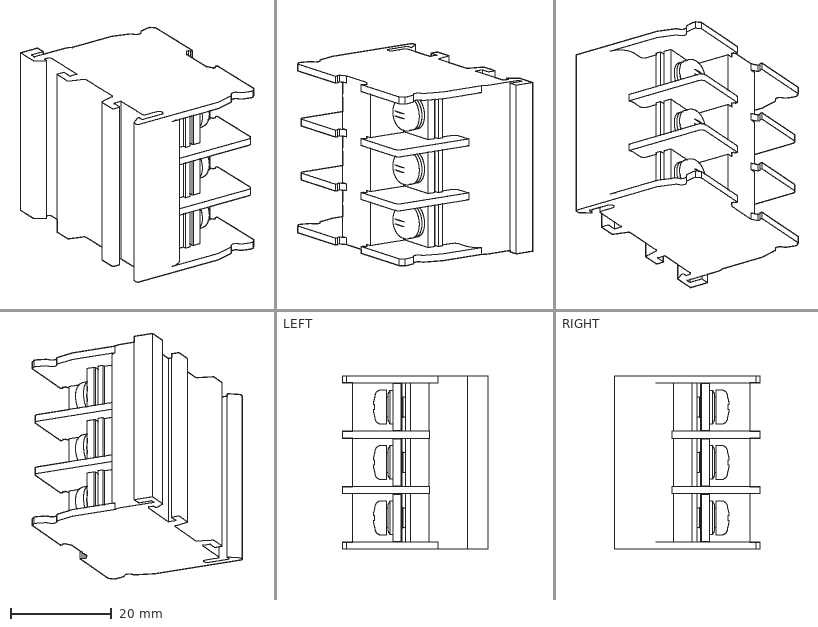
import cadquery as cq
import math


LENGTH = 41.6
HEIGHT = 34.5
CELLS = 3
PLATE_THICK = 1.4
CELL_PITCH = (HEIGHT - PLATE_THICK) / CELLS
CENTRE_X = 22.6
TOP_Y = 29.0

END_PLATE_LEFT = 2 * CENTRE_X - LENGTH
INNER_PLATE_LEFT = 5.6
INNER_PLATE_FILLET = 1.0
PLATE_ROOT_Y = 6.25

RAIL_FACE_Y = 3.6
BASE_LEFT = 3.1
SHOULDER_Y = 11.77
SHOULDER_RADIUS = 3.5
WALL_FILLET = 1.0
LOWER_WALL_LEFT = 10.0
LEDGE_LEFT = 9.3
LEDGE_BOTTOM_Y = 15.45
LEDGE_TOP_Y = 16.47
CORE_LEFT = 17.8
CORE_TOP_Y = 27.0

BAR_BOTTOM_Y = 17.15
BAR_TOP_Y = 18.93
BAR_CHAMFER = 0.2
BAR_CLEARANCE = 0.12
SCREW_X = 13.9
COLLAR_RADIUS = 2.05
COLLAR_BOTTOM_Y = 16.9
SHANK_RADIUS = 1.95
WASHER_RADIUS = 3.33
WASHER_CHAMFER = 0.37
WASHER_TOP_Y = 19.93
HEAD_RADIUS = 3.4
HEAD_BOTTOM_Y = 20.25
HEAD_ROUND_Y = 21.25
HEAD_TOP_Y = 22.85
SLOT_WIDTH = 1.0
SLOT_DEPTH = 0.2

FOOT_BOTTOM_Y = 0.2
FOOT_TOP_Y = 1.9
FOOT_FILLET = 0.25
FOOT_ROOT_FILLET = 0.4
HOOK_TIP_Y = 2.25
HOOK_TIP_FILLET = 0.15
HOOK_HEEL_FILLET = 0.4
THROAT_FILLET = 0.6
FLEX_SLOT_FILLET = 0.4
FLEX_SLOT_LEFT = 38.52
FLEX_SLOT_RIGHT = 40.05
FLEX_SLOT_TOP_Y = 7.55
OVERLAP = 0.4


def mirror_x(x):
    return 2 * CENTRE_X - x


def mirrored(points):
    """Points reflected about the terminal centre line, in reverse order."""
    return [(mirror_x(x), y) for x, y in reversed(points)]


def prism(points):
    """Full-height solid over a straight-sided outline."""
    return cq.Workplane("XY").polyline(points).close().extrude(HEIGHT)


def round_corners(solid, corners, radius):
    """Fillet the full-height edges that pass through the given (x, y) corners."""
    for x, y in corners:
        edge = solid.edges("|Z").edges(cq.selectors.NearestToPointSelector((x, y, HEIGHT / 2)))
        solid = edge.fillet(radius)
    return solid


def both_sides(solid):
    """The solid together with its reflection on the other terminal row."""
    return solid.union(solid.mirror("YZ", (CENTRE_X, 0, 0)))


def marker_groove():
    """Undercut groove in the outer edge of every plate, for a marker strip."""
    left = [(18.2, TOP_Y + OVERLAP), (18.2, 28.55), (17.8, 28.25), (17.8, 27.8), (19.15, CORE_TOP_Y)]
    return prism(left + mirrored(left))


def end_plate(bottom):
    """Outer plate, with a smoothly rounded finger notch at each upper flank."""
    flank = [(END_PLATE_LEFT, PLATE_ROOT_Y), (END_PLATE_LEFT, 19.43), (4.65, 23.15)]
    notch_arcs = [
        ((4.85, 23.4), (5.2, 23.63)),
        ((5.75, 24.5), (5.25, 25.35)),
        ((4.85, 25.63), (4.65, 26.0)),
    ]
    horn = [(4.25, 27.6), (4.25, 28.15), (5.08, TOP_Y)]
    sketch = cq.Workplane("XY").workplane(offset=bottom).polyline(flank)
    for middle, end in notch_arcs:
        sketch = sketch.threePointArc(middle, end)
    for point in horn + [(CENTRE_X, TOP_Y)]:
        sketch = sketch.lineTo(*point)
    sketch = sketch.lineTo(CENTRE_X, PLATE_ROOT_Y).close()
    return both_sides(sketch.extrude(PLATE_THICK))


def inner_plate(bottom):
    """Partition between two cells, with rounded outer corners."""
    width = 2 * (CENTRE_X - INNER_PLATE_LEFT)
    plate = cq.Workplane("XY").box(
        width, TOP_Y - PLATE_ROOT_Y, PLATE_THICK, centered=(True, False, False)
    )
    plate = plate.edges("|Z and >Y").fillet(INNER_PLATE_FILLET)
    return plate.translate((CENTRE_X, PLATE_ROOT_Y, bottom))


def base():
    """Full-height body: rounded shoulders, filleted into the stepped central wall."""
    diagonal = math.sqrt(0.5)
    arc_y = SHOULDER_Y - SHOULDER_RADIUS
    arc_left = BASE_LEFT + SHOULDER_RADIUS
    arc_right = LENGTH - SHOULDER_RADIUS
    reach = SHOULDER_RADIUS * diagonal
    wall_foot_y = SHOULDER_Y + WALL_FILLET
    fillet_left = LOWER_WALL_LEFT - WALL_FILLET
    fillet_mid = (LOWER_WALL_LEFT - WALL_FILLET * (1 - diagonal), wall_foot_y - WALL_FILLET * diagonal)
    wall = [
        (LOWER_WALL_LEFT, wall_foot_y),
        (LOWER_WALL_LEFT, LEDGE_BOTTOM_Y),
        (LEDGE_LEFT, LEDGE_BOTTOM_Y),
        (LEDGE_LEFT, LEDGE_TOP_Y),
        (CORE_LEFT, LEDGE_TOP_Y),
        (CORE_LEFT, CORE_TOP_Y),
    ]
    sketch = (
        cq.Workplane("XY")
        .moveTo(BASE_LEFT, RAIL_FACE_Y)
        .lineTo(BASE_LEFT, arc_y)
        .threePointArc((arc_left - reach, arc_y + reach), (arc_left, SHOULDER_Y))
        .lineTo(fillet_left, SHOULDER_Y)
        .threePointArc(fillet_mid, wall[0])
    )
    for point in wall[1:] + mirrored(wall):
        sketch = sketch.lineTo(*point)
    sketch = (
        sketch.threePointArc(mirrored([fillet_mid])[0], (mirror_x(fillet_left), SHOULDER_Y))
        .lineTo(arc_right, SHOULDER_Y)
        .threePointArc((arc_right + reach, arc_y + reach), (LENGTH, arc_y))
        .lineTo(LENGTH, RAIL_FACE_Y)
    )
    return sketch.close().extrude(HEIGHT)


def rail_foot():
    """Left L-shaped foot whose toe points away from the centre."""
    toe, shin, heel, root = 12.55, 14.75, 16.65, 17.65
    root_end = root + 2 * FOOT_ROOT_FILLET
    foot = prism([
        (shin, RAIL_FACE_Y + OVERLAP),
        (shin, FOOT_TOP_Y),
        (toe, FOOT_TOP_Y),
        (toe, FOOT_BOTTOM_Y),
        (heel, FOOT_BOTTOM_Y),
        (root, RAIL_FACE_Y),
        (root_end, RAIL_FACE_Y),
        (root_end, RAIL_FACE_Y + OVERLAP),
    ])
    foot = round_corners(foot, [(root, RAIL_FACE_Y)], FOOT_ROOT_FILLET)
    return round_corners(
        foot, [(toe, FOOT_TOP_Y), (toe, FOOT_BOTTOM_Y), (heel, FOOT_BOTTOM_Y)], FOOT_FILLET
    )


def fixed_hook():
    """Left rail hook with the upturned release lip."""
    lip_right, lip_top, lip_floor = 2.1, 4.08, 1.2
    throat, throat_end = 5.1, 6.25
    throat_top = (throat, RAIL_FACE_Y)
    throat_bottom = (throat, HOOK_TIP_Y)
    tip = (6.3, HOOK_TIP_Y)
    heel = (4.75, 0)
    hook = prism([
        (0, 0),
        (0, lip_top),
        (lip_right, lip_top),
        (lip_right, lip_floor),
        (BASE_LEFT, lip_floor),
        (BASE_LEFT, RAIL_FACE_Y + OVERLAP),
        (throat_end, RAIL_FACE_Y + OVERLAP),
        (throat_end, RAIL_FACE_Y),
        throat_top,
        throat_bottom,
        tip,
        heel,
    ])
    hook = round_corners(hook, [throat_top], THROAT_FILLET)
    hook = round_corners(hook, [throat_bottom, tip], HOOK_TIP_FILLET)
    return round_corners(hook, [heel], HOOK_HEEL_FILLET)


def spring_hook():
    """Right rail hook, hanging below the flexing slot."""
    throat_bottom = (FLEX_SLOT_RIGHT, HOOK_TIP_Y)
    tip = (38.7, HOOK_TIP_Y)
    heel = (40.35, 0)
    corner = (LENGTH, 0)
    hook = prism([
        (FLEX_SLOT_RIGHT, RAIL_FACE_Y + OVERLAP),
        throat_bottom,
        tip,
        heel,
        corner,
        (LENGTH, RAIL_FACE_Y + OVERLAP),
    ])
    hook = round_corners(hook, [throat_bottom, tip], HOOK_TIP_FILLET)
    return round_corners(hook, [heel, corner], HOOK_HEEL_FILLET)


def flex_slot():
    """Round-ended slot that frees the spring hook."""
    radius = (FLEX_SLOT_RIGHT - FLEX_SLOT_LEFT) / 2
    middle = (FLEX_SLOT_LEFT + FLEX_SLOT_RIGHT) / 2
    return (
        cq.Workplane("XY")
        .moveTo(FLEX_SLOT_LEFT, RAIL_FACE_Y - OVERLAP)
        .lineTo(FLEX_SLOT_LEFT, FLEX_SLOT_TOP_Y - radius)
        .threePointArc((middle, FLEX_SLOT_TOP_Y), (FLEX_SLOT_RIGHT, FLEX_SLOT_TOP_Y - radius))
        .lineTo(FLEX_SLOT_RIGHT, RAIL_FACE_Y - OVERLAP)
        .close()
        .extrude(HEIGHT)
    )


def conductor_bar(bottom):
    """Bar running through the central wall from one screw to the other."""
    bar = cq.Workplane("XY").box(
        2 * (CENTRE_X - LEDGE_LEFT),
        BAR_TOP_Y - BAR_BOTTOM_Y,
        CELL_PITCH - PLATE_THICK - 2 * BAR_CLEARANCE,
        centered=(True, False, False),
    )
    bar = bar.faces("<Y").edges("|Z").chamfer(BAR_CHAMFER)
    return bar.translate((CENTRE_X, BAR_BOTTOM_Y, bottom + BAR_CLEARANCE))


def screw(middle_z):
    """Left screw, revolved about Y: shank, collar, washer and slotted domed head."""
    dome_radius, dome_y = 2.1, 22.5
    dome_mid = (dome_radius / 2, HEAD_TOP_Y - 0.1)
    head_round_mid = (3.05, 22.15)
    body = (
        cq.Workplane("XY")
        .moveTo(0, LEDGE_TOP_Y - OVERLAP)
        .lineTo(SHANK_RADIUS, LEDGE_TOP_Y - OVERLAP)
        .lineTo(SHANK_RADIUS, COLLAR_BOTTOM_Y)
        .lineTo(COLLAR_RADIUS, COLLAR_BOTTOM_Y)
        .lineTo(COLLAR_RADIUS, BAR_TOP_Y)
        .lineTo(WASHER_RADIUS, BAR_TOP_Y)
        .lineTo(WASHER_RADIUS, WASHER_TOP_Y - WASHER_CHAMFER)
        .lineTo(WASHER_RADIUS - 2 * WASHER_CHAMFER, WASHER_TOP_Y)
        .lineTo(SHANK_RADIUS, WASHER_TOP_Y)
        .lineTo(SHANK_RADIUS, HEAD_BOTTOM_Y)
        .lineTo(HEAD_RADIUS, HEAD_BOTTOM_Y)
        .lineTo(HEAD_RADIUS, HEAD_ROUND_Y)
        .threePointArc(head_round_mid, (dome_radius, dome_y))
        .threePointArc(dome_mid, (0, HEAD_TOP_Y))
        .close()
        .revolve(360, (0, 0, 0), (0, 1, 0))
    )
    slot = cq.Workplane("XY").box(2 * HEAD_RADIUS, 2 * SLOT_DEPTH, SLOT_WIDTH)
    body = body.cut(slot.translate((0, HEAD_TOP_Y, 0)))
    return body.translate((SCREW_X, 0, middle_z))


result = base().cut(flex_slot())
result = round_corners(result, [(FLEX_SLOT_LEFT, RAIL_FACE_Y)], FLEX_SLOT_FILLET)
result = result.union(both_sides(rail_foot())).union(fixed_hook()).union(spring_hook())
for plate_z in (0.0, HEIGHT - PLATE_THICK):
    result = result.union(end_plate(plate_z).cut(flex_slot()))
for divider in range(1, CELLS):
    result = result.union(inner_plate(divider * CELL_PITCH).cut(flex_slot()))
result = result.cut(marker_groove())
for cell in range(CELLS):
    floor_z = cell * CELL_PITCH + PLATE_THICK
    middle_z = (floor_z + (cell + 1) * CELL_PITCH) / 2
    result = result.union(conductor_bar(floor_z)).union(both_sides(screw(middle_z)))